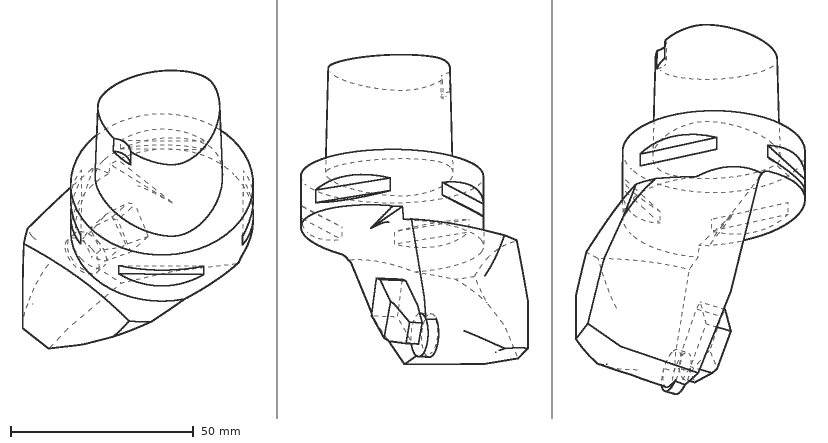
import cadquery as cq
import math


shank_length = 30.0
shank_radius = 17.5
shank_taper = 1 / 40
lobe_height = 1.3
face_half_angle = 37
spline_steps = 8
key_radius = 5.0
key_axis_y = -19.1
key_depth = 5.5

flange_diameter = 50.0
flange_radius = flange_diameter / 2
flange_height = 20.0
slot_floor_distance = 22.1
slot_floor_height = 3.6
slot_mouth_height = 6.8
slot_z = -flange_height / 2
slot_angles = [45, 135, 225, 315]

tool_reach = 60.0
edge_offset = 35.0
front_y = -32.7
left_arc_start = (-33.1, -8.8)
left_arc_radius = 37.8
left_corner_x = -21.15
right_arc_radius = 27
head_back_y = 5.4
shoulder_slope = math.tan(math.radians(15))

front_break_z = -39.4
front_slope = 4.9 / 17.8
bottom_break = (-32.7, -52.7)
bottom_slope_end = (-21.5, -56.4)
left_plane_points = [(-30.0, 3.15, -21.3), (-33.1, -9.9, -43.3), (-28.25, -23.1, -23.2)]
diagonal_z = -41.7
relief = (0.12, -1, 0.125)
corner_center = (-28.8, -53.6)
corner_radius = 5.4

wall_y = 5.0
ceiling_outer_z = -14.6
ceiling_inner_z = -16.3
gouge_fillet = 3.0
rake_y = 8.5
rake_x_slope = 0.12
rake_z_slope = 0.081

insert_diameter = 12.0
insert_radius = insert_diameter / 2
insert_thickness = 3.15

clamp_height = 7.7
clamp_outline = [
    (-22.85, -36.9), (-29.4, -45.7), (-31.5, -51.3), (-27.9, -56.3), (-23.4, -54.5), (-15.3, -45), (-20.5, -35.8),
]
nose_bevel_points = [(-29.4, 8.9, -45.7), (-23.1, 8.9, -54.5), (-31.5, 4.7, -51.3)]

big = 135

rake_normal = cq.Vector(-rake_x_slope, 1, -rake_z_slope).normalized()


def rake_point(x, z):
    """Point of the tilted rake plane above the given X and Z."""
    return cq.Vector(x, rake_y + rake_x_slope * x + rake_z_slope * z, z)


def half_space(origin, normal):
    """Block on the side of a plane to which its normal points."""
    return cq.Workplane(cq.Plane(origin, normal=normal)).rect(2 * big, 2 * big).extrude(big)


def plane_normal(points):
    """Normal of the plane through three points."""
    first, second, third = [cq.Vector(*point) for point in points]
    return (second - first).cross(third - first)


def skew_prism(wire, direction):
    """Prism of a wire along a direction that may lean."""
    return cq.Workplane(cq.Solid.extrudeLinear(wire, [], direction))


def polygon_wire(radius, z):
    """Rounded three-lobed section whose outline lies radius + lobe_height * cos(3a) from the axis."""
    def support(angle):
        lobe_angle = 3 * (angle - math.pi / 2)
        return radius + lobe_height * math.cos(lobe_angle), -3 * lobe_height * math.sin(lobe_angle)

    def point(angle):
        distance, shift = support(angle)
        return cq.Vector(
            distance * math.cos(angle) - shift * math.sin(angle),
            distance * math.sin(angle) + shift * math.cos(angle),
            z,
        )

    limits = []
    for lobe in (90, 210, 330):
        limits += [lobe - face_half_angle, lobe + face_half_angle]
    limits.append(limits[0] + 360)
    edges = []
    for start, end in zip(limits, limits[1:]):
        angles = [math.radians(start + (end - start) * i / spline_steps) for i in range(spline_steps + 1)]
        tangents = [cq.Vector(-math.sin(a), math.cos(a), 0) for a in (angles[0], angles[-1])]
        edges.append(cq.Edge.makeSpline([point(a) for a in angles], tangents=tangents))
    return cq.Wire.assembleEdges(edges)


def make_shank():
    """Tapered polygon shank with a half-round key notch at its end."""
    lower = polygon_wire(shank_radius, 0)
    upper = polygon_wire(shank_radius - shank_taper * shank_length, shank_length)
    shank = cq.Workplane(cq.Solid.makeLoft([lower, upper], True))
    notch = (
        cq.Workplane("XY").workplane(offset=shank_length - key_depth)
        .center(0, key_axis_y).circle(key_radius).extrude(2 * key_depth)
    )
    return shank.cut(notch)


def make_flange():
    """Round flange with four flared gripper slots."""
    flange = cq.Workplane("XY").circle(flange_radius).extrude(-flange_height)
    flare = (slot_mouth_height - slot_floor_height) / 2
    floor_half = slot_floor_height / 2
    mouth_half = floor_half + 2 * flare
    mouth_distance = 2 * flange_radius - slot_floor_distance
    slot = (
        cq.Workplane("XZ").center(0, slot_z)
        .polyline([
            (slot_floor_distance, -floor_half), (mouth_distance, -mouth_half),
            (mouth_distance, mouth_half), (slot_floor_distance, floor_half),
        ])
        .close().extrude(flange_radius, both=True)
    )
    for angle in slot_angles:
        flange = flange.cut(slot.rotate((0, 0, 0), (0, 0, 1), angle))
    return flange


def head_plan():
    """Head outline seen along the shank axis, as a tall prism."""
    relief_rate = relief[0] / relief[1]
    start_x, start_y = left_arc_start
    back_left_x = start_x + relief_rate * (head_back_y - start_y)
    right_arc_y = front_y + right_arc_radius
    diagonal = right_arc_radius * math.sqrt(0.5)
    return (
        cq.Workplane("XY").workplane(offset=-tool_reach)
        .moveTo(back_left_x, head_back_y)
        .lineTo(start_x, start_y)
        .radiusArc((left_corner_x, front_y), -left_arc_radius)
        .lineTo(0, front_y)
        .threePointArc((diagonal, right_arc_y - diagonal), (right_arc_radius, right_arc_y))
        .lineTo(right_arc_radius, head_back_y)
        .close().extrude(tool_reach)
    )


def shoulder():
    """Conical shoulder that limits the head below the flange."""
    outer = 2 * flange_radius
    return (
        cq.Workplane("XZ")
        .polyline([
            (0, -flange_height), (flange_radius, -flange_height),
            (outer, -flange_height - shoulder_slope * (outer - flange_radius)), (outer, -big), (0, -big),
        ])
        .close().revolve(360, (0, 0, 0), (0, 1, 0))
    )


def relieved_corner():
    """Prism along the relief direction with the rounded lower left corner."""
    center_x, center_z = corner_center
    start = cq.Vector(*relief) * -head_back_y
    left = center_x - corner_radius
    bottom = center_z - corner_radius
    sweep = corner_radius * math.sqrt(0.5)
    wire = (
        cq.Workplane(cq.Plane((start.x, start.y, start.z), xDir=(1, 0, 0), normal=(0, -1, 0)))
        .moveTo(left, 0).lineTo(left, center_z)
        .threePointArc((center_x - sweep, center_z - sweep), (center_x, bottom))
        .lineTo(big, bottom).lineTo(big, 0).close().val()
    )
    return skew_prism(wire, cq.Vector(*relief) * flange_diameter)


def make_head():
    """Head below the flange, trimmed by its flank planes."""
    head = head_plan().intersect(shoulder()).intersect(relieved_corner())
    head = head.cut(half_space((0, front_y, front_break_z), (0, -1, front_slope)))
    head = head.cut(half_space(left_plane_points[0], plane_normal(left_plane_points)))
    rise = bottom_break[1] - bottom_slope_end[1]
    run = bottom_slope_end[0] - bottom_break[0]
    return head.cut(half_space((0, *bottom_break), (0, -rise, -run)))


def gouge():
    """Space above the wall of the head, under a sloping ceiling with a rounded inner corner."""
    return (
        cq.Workplane("YZ").workplane(offset=-big)
        .polyline([
            (wall_y, ceiling_inner_z), (flange_radius, ceiling_outer_z),
            (big, ceiling_outer_z), (big, -big), (wall_y, -big),
        ])
        .close().extrude(2 * big)
        .edges(cq.selectors.NearestToPointSelector((0, wall_y, ceiling_inner_z))).fillet(gouge_fillet)
    )


def rake_cut():
    """Space in front of the rake plane, kept below the ceiling of the gouge."""
    below_ceiling = half_space((0, wall_y, ceiling_inner_z), (0, 0, -1))
    return half_space(rake_point(0, 0), rake_normal).intersect(below_ceiling)


def make_clamp():
    """Clamp block standing on the rake plane with a bevelled nose."""
    wire = cq.Wire.makePolygon([rake_point(x, z) for x, z in clamp_outline], close=True)
    clamp = skew_prism(wire, rake_normal * (clamp_height * rake_normal.y))
    return clamp.cut(half_space(nose_bevel_points[0], plane_normal(nose_bevel_points)))


def make_insert():
    """Round cutting insert with its top face in the rake plane."""
    x_reach = insert_radius * math.sqrt(1 - rake_normal.x ** 2)
    z_reach = insert_radius * math.sqrt(1 - rake_normal.z ** 2)
    center = rake_point(x_reach - edge_offset, z_reach - tool_reach)
    return cq.Workplane(cq.Plane(center, normal=rake_normal)).circle(insert_radius).extrude(-insert_thickness)


def make_holder(insert):
    """Shank, flange, head and clamp as one body with a seat for the insert."""
    holder = make_flange().union(make_head())
    holder = holder.cut(half_space((0, 0, diagonal_z), (1, 0, -1)))
    holder = holder.cut(gouge()).cut(rake_cut())
    holder = holder.union(make_shank()).union(make_clamp())
    return holder.cut(insert)


insert = make_insert()
holder = make_holder(insert)
result = cq.Compound.makeCompound([*holder.vals(), insert.val()])